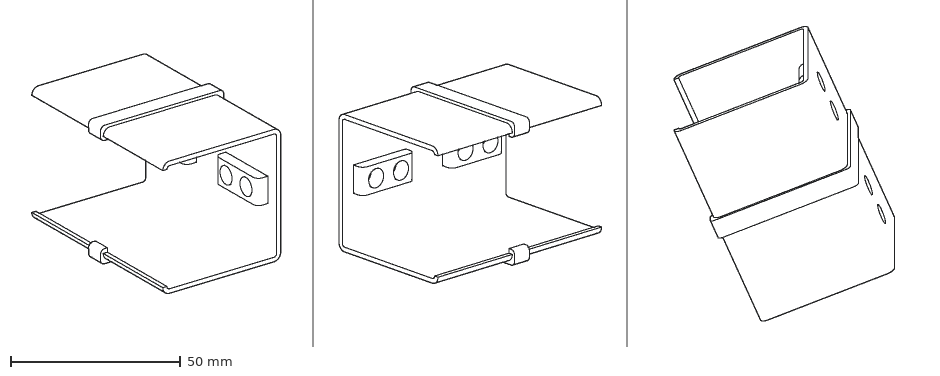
import cadquery as cq

channel_length = 66.0
sheet_thickness = 1.5
inner_bend_radius = 1.0
outer_bend_radius = inner_bend_radius + sheet_thickness

clip_size = 45.0
clip_width = 6.0
clip_thickness = 1.0
clip_corner_radius = 1.5
hook_height = 4.95

channel_size = clip_size - 2 * clip_thickness
cavity_size = channel_size - 2 * sheet_thickness
lip_height = outer_bend_radius

block_offset = 18.0
block_length = 21.1
block_height = 8.85
block_depth = 3.95
block_edge_radius = 2.05
hole_diameter = 6.0
hole_spacing = 10.0


def rounded_square_bar(size, length, radius):
    """Square bar along X with its four long edges rounded."""
    return cq.Workplane("XY").box(length, size, size).edges("|X").fillet(radius)


def open_profile(outer_size, outer_radius, length, front_height):
    """Hollow bar whose -Y wall keeps only a strip of front_height at top and bottom."""
    bar = rounded_square_bar(outer_size, length, outer_radius)
    cavity = rounded_square_bar(cavity_size, length, inner_bend_radius)
    opening_height = outer_size - 2 * front_height
    opening = cq.Workplane("XY").box(length, outer_size, opening_height)
    opening = opening.translate((0, -outer_size / 2, 0))
    return bar.cut(cavity).cut(opening)


def make_clip():
    """Band with hooks whose outer free edges are rounded."""
    clip = open_profile(clip_size, clip_corner_radius, clip_width, hook_height)
    inner_tip = clip_size / 2 - hook_height
    tip_box = cq.selectors.BoxSelector(
        (-clip_width, -clip_size / 2 - clip_thickness, -inner_tip - clip_thickness / 2),
        (clip_width, -clip_size / 2 + clip_thickness, inner_tip + clip_thickness / 2),
    )
    return clip.edges("|X").edges(tip_box).fillet(clip_corner_radius)


def make_block(center_x):
    """Block with rounded front ends, sunk into the back wall for a solid joint."""
    front_y = cavity_size / 2 - block_depth
    depth_with_root = block_depth + sheet_thickness / 2
    block = cq.Workplane("XY").box(block_length, depth_with_root, block_height)
    block = block.faces("<Y").edges("|Z").fillet(block_edge_radius)
    return block.translate((center_x, front_y + depth_with_root / 2, 0))


def make_holes(center_x):
    """Pair of holes through a block and the back wall."""
    return (
        cq.Workplane("XZ")
        .center(center_x, 0)
        .rarray(hole_spacing, 0.65, 2, 1)
        .circle(hole_diameter / 2)
        .extrude(-clip_size)
    )


channel = open_profile(channel_size, outer_bend_radius, channel_length, lip_height)
result = channel.union(make_clip())
for block_x in (-block_offset, block_offset):
    result = result.union(make_block(block_x)).cut(make_holes(block_x))